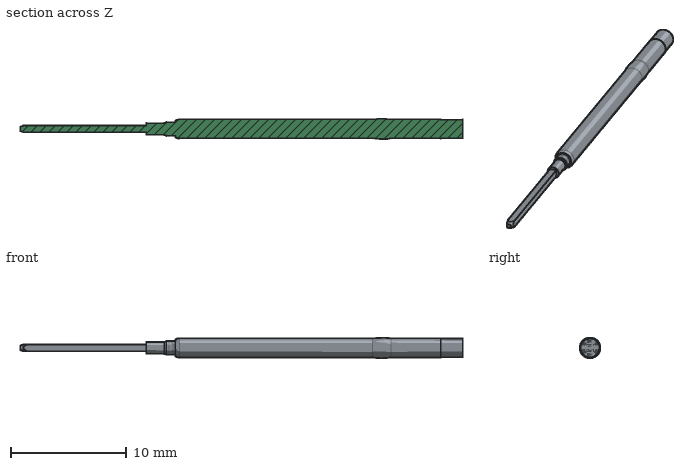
import cadquery as cq
import math

TOTAL_LENGTH = 38.33

PIN_WIDTH = 0.6
PIN_CORNER_RADIUS = PIN_WIDTH / math.sqrt(2)
TIP_LENGTH = 0.58
TIP_END_RADIUS = 0.2

PLUNGER_START = 10.9
PLUNGER_RADIUS = 1.05 / 2

LIP_START = 12.49
LIP_LENGTH = 0.16
LIP_RADIUS = 0.55
NECK_START = LIP_START + LIP_LENGTH
NECK_RADIUS = 0.615
GROOVE_START = 12.85
GROOVE_END = 13.2
GROOVE_RADIUS = 1.19 / 2

BARREL_RADIUS = 1.68 / 2
SHOULDER_START = 13.43
SHOULDER_END = 13.77
SHOULDER_FRONT_RADIUS = 0.72
SHOULDER_BULGE = 0.04

RING_START = 30.5
RING_END = 32.1
RING_RADIUS = 1.81 / 2

TAIL_START = 36.4
TAIL_RADIUS = 1.64 / 2


def revolve_about_x(profile):
    """Turn a closed XY half-profile around the X axis."""
    return profile.revolve(360, (0, 0, 0), (1, 0, 0))


def make_pin():
    """Square bar whose front end is turned to a blunt cone."""
    bar = cq.Workplane("YZ").rect(PIN_WIDTH, PIN_WIDTH).extrude(PLUNGER_START)
    envelope_profile = (
        cq.Workplane("XY")
        .lineTo(0, TIP_END_RADIUS)
        .lineTo(TIP_LENGTH, PIN_CORNER_RADIUS)
        .lineTo(PLUNGER_START, PIN_CORNER_RADIUS)
        .lineTo(PLUNGER_START, 0)
        .close()
    )
    return bar.intersect(revolve_about_x(envelope_profile))


def make_turned_body():
    """Plunger, nose, barrel, press ring and tail as one revolved profile."""
    groove_middle = (GROOVE_START + GROOVE_END) / 2
    shoulder_middle = (SHOULDER_START + SHOULDER_END) / 2
    shoulder_middle_radius = (SHOULDER_FRONT_RADIUS + BARREL_RADIUS) / 2 + SHOULDER_BULGE
    ring_middle = (RING_START + RING_END) / 2
    profile = (
        cq.Workplane("XY")
        .moveTo(PLUNGER_START, 0)
        .lineTo(PLUNGER_START, PLUNGER_RADIUS)
        .lineTo(LIP_START, PLUNGER_RADIUS)
        .lineTo(LIP_START, LIP_RADIUS)
        .lineTo(NECK_START, LIP_RADIUS)
        .lineTo(NECK_START, NECK_RADIUS)
        .lineTo(GROOVE_START, NECK_RADIUS)
        .threePointArc((groove_middle, GROOVE_RADIUS), (GROOVE_END, NECK_RADIUS))
        .lineTo(SHOULDER_START, NECK_RADIUS)
        .lineTo(SHOULDER_START, SHOULDER_FRONT_RADIUS)
        .threePointArc((shoulder_middle, shoulder_middle_radius), (SHOULDER_END, BARREL_RADIUS))
        .lineTo(RING_START, BARREL_RADIUS)
        .threePointArc((ring_middle, RING_RADIUS), (RING_END, BARREL_RADIUS))
        .lineTo(TAIL_START, BARREL_RADIUS)
        .lineTo(TAIL_START, TAIL_RADIUS)
        .lineTo(TOTAL_LENGTH, TAIL_RADIUS)
        .lineTo(TOTAL_LENGTH, 0)
        .close()
    )
    return revolve_about_x(profile)


result = make_turned_body().union(make_pin())